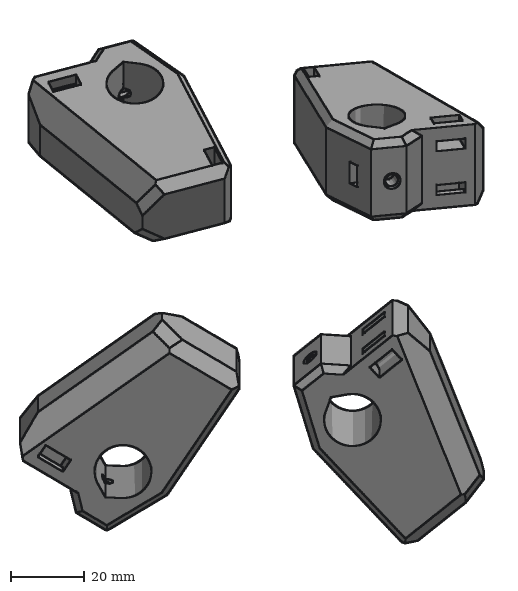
import cadquery as cq
import math

length = 57.75
width = 42.0
height = 24.0
half_height = height / 2

lug_reach = 5.8
lug_low = 23.75
lug_high = 33.65
foot_length = 18.0
corner_along_x = 3.1
corner_along_y = 3.0
end_low = 15.0

edge_bevel = 2.0
slope_bevel = 5.95
top_end_inset = 3.1
top_end_depth = 3.0
bottom_end_inset = 3.9
bottom_end_depth = 3.8
end_facet_rise = 1.32
top_facet_length = 2.3
bottom_facet_length = 3.0

bore_x = 17.7
bore_y = 27.7
bore_radius = 7.75
tip_half_angle = math.radians(60)
screw_diameter = 3.5
screw_mouth_diameter = 4.6

nut_thickness = 3.0
nut_width = 6.35
clamp_nut_x = 5.4
end_nut_x = 48.2
end_nut_y = 36.5

strap_low = 5.8
strap_width = 8.1
strap_near_x = 8.9
strap_far_x = 12.95
strap_shallow = 4.05
strap_deep = 7.0
strap_bend_radius = 2.0
strap_inner_radius = 1.0

cutter_size = 173.25


def outside(point, normal):
    """Large block filling the space beyond a plane with the given outward normal."""
    plane = cq.Plane(origin=point, normal=normal)
    return cq.Workplane(plane).rect(cutter_size, cutter_size).extrude(cutter_size)


def outward(start, end):
    """Unit normal to the right of an edge, which is outward on a counterclockwise outline."""
    dx = end[0] - start[0]
    dy = end[1] - start[1]
    edge_length = math.hypot(dx, dy)
    return dy / edge_length, -dx / edge_length


def edge_cutter(start, end, bevel, side):
    """Cutter for a 45 degree bevel along an outline edge, on top (1) or bottom (-1)."""
    normal_x, normal_y = outward(start, end)
    return outside((start[0], start[1], side * (half_height - bevel)), (normal_x, normal_y, side))


def box(x, y, z):
    """Box spanning the given (low, high) pairs."""
    size = (x[1] - x[0], y[1] - y[0], z[1] - z[0])
    return cq.Workplane("XY").box(*size, centered=False).translate((x[0], y[0], z[0]))


foot_start = (lug_reach + corner_along_x, 0)
slope_start = (foot_length, 0)
slope_end = (length, end_low)
back_end = (length - corner_along_x, width)
back_start = (bore_x, width)
lug_top = (0, lug_high)
lug_bottom = (0, lug_low)
lug_root = (lug_reach, lug_low - lug_reach)
outline = [
    foot_start,
    slope_start,
    slope_end,
    (length, width - corner_along_y),
    back_end,
    back_start,
    lug_top,
    lug_bottom,
    lug_root,
    (lug_reach, corner_along_y),
]
result = cq.Workplane("XY").workplane(offset=-half_height).polyline(outline).close().extrude(height)

lug_zone = box((-lug_reach, lug_reach), (0, width), (-height, height))
for side in (1, -1):
    result = result.cut(edge_cutter(slope_start, slope_end, slope_bevel, side))
    result = result.cut(edge_cutter(back_end, back_start, edge_bevel, side))
    result = result.cut(edge_cutter(back_start, lug_top, edge_bevel, side))
    result = result.cut(edge_cutter(lug_top, lug_bottom, edge_bevel, side))
    result = result.cut(edge_cutter(lug_bottom, lug_root, edge_bevel, side).intersect(lug_zone))

slope_normal_x, slope_normal_y = outward(slope_start, slope_end)
slope_rate = end_low / (length - foot_length)
for side, inset, depth, facet_length in (
    (1, top_end_inset, top_end_depth, top_facet_length),
    (-1, bottom_end_inset, bottom_end_depth, bottom_facet_length),
):
    result = result.cut(outside((length, 0, side * (half_height - depth)), (depth, 0, side * inset)))
    facet_start = (
        length - facet_length,
        end_low - facet_length * slope_rate,
        side * (half_height - slope_bevel),
    )
    facet_normal = (slope_normal_x + end_facet_rise, slope_normal_y, side)
    result = result.cut(outside(facet_start, facet_normal))

tangent_x = bore_x - bore_radius * math.sin(tip_half_angle)
tangent_y = bore_radius * math.cos(tip_half_angle)
tip_x = bore_x - bore_radius / math.sin(tip_half_angle)
bore = (
    cq.Workplane("XY")
    .workplane(offset=-half_height)
    .moveTo(tip_x, bore_y)
    .lineTo(tangent_x, bore_y - tangent_y)
    .threePointArc((bore_x + bore_radius, bore_y), (tangent_x, bore_y + tangent_y))
    .close()
    .extrude(height)
)
result = result.cut(bore)

screw_axis = cq.Workplane("YZ").center(bore_y, 0)
screw_hole = screw_axis.circle(screw_diameter / 2).extrude(bore_x)
mouth = cq.Workplane(
    cq.Solid.makeCone(
        screw_mouth_diameter / 2,
        screw_diameter / 2,
        (screw_mouth_diameter - screw_diameter) / 2,
        cq.Vector(0, bore_y, 0),
        cq.Vector(1, 0, 0),
    )
)
result = result.cut(screw_hole).cut(mouth)

nut_half = nut_width / 2
clamp_trap = box(
    (clamp_nut_x, clamp_nut_x + nut_thickness),
    (bore_y - nut_half, width),
    (-nut_half, nut_half),
)
end_trap = box(
    (end_nut_x, end_nut_x + nut_width),
    (end_nut_y, end_nut_y + nut_thickness),
    (-nut_half, half_height),
)
result = result.cut(clamp_trap).cut(end_trap)


def strap_channel():
    """L-shaped channel from the foot wall to the top face, rounded on both sides of its bend."""
    floor = half_height - strap_deep
    roof = half_height - strap_shallow
    wall_run = box((lug_reach, strap_far_x), (strap_low, strap_low + strap_width), (floor, roof))
    face_run = box((strap_near_x, strap_far_x), (strap_low, strap_low + strap_width), (floor, half_height))
    channel = wall_run.union(face_run).edges("|Y and >X and <Z").fillet(strap_bend_radius)
    inner_edge = cq.selectors.NearestToPointSelector((strap_near_x, strap_low + strap_width / 2, roof))
    return channel.edges(inner_edge).fillet(strap_inner_radius)


top_strap = strap_channel()
result = result.cut(top_strap).cut(top_strap.mirror("XY"))